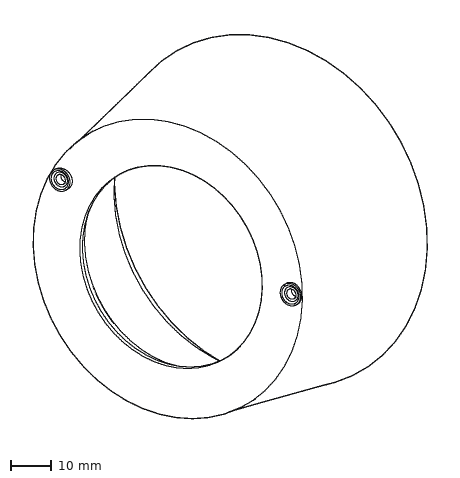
import cadquery as cq
import math


REAR_RADIUS = 46.2
RIM_RADIUS = 39.2
RIM_LENGTH = 1.6
BODY_LENGTH = 49.2

MOUTH_RADIUS = 26.5
MOUTH_DEPTH = 1.6
LIP_LENGTH = 1.3

THROAT_END_SLOPE = 0.3
CHAMBER_RADIUS = 40.6
CHAMBER_START = 23.6
CHAMBER_LENGTH = 18.3
REAR_WALL = 1.4

SCREW_CIRCLE_RADIUS = 35.9
SCREW_ANGLES = (0, 150)
HEAD_RADIUS = 3.0
HEAD_HEIGHT = 0.5
HEAD_ROOT = 1.85
RECESS_RADIUS = 2.5
RECESS_FLOOR_RADIUS = 1.9
RECESS_DEPTH = 0.5
SOCKET_RADIUS = 1.34
SOCKET_DEPTH = 2.8


def make_body():
    """Revolve the wall section, drawn as (y, radius), around the Y axis."""
    lip_end = MOUTH_DEPTH + LIP_LENGTH
    chamber_end = CHAMBER_START + CHAMBER_LENGTH
    throat_direction = (-1, -THROAT_END_SLOPE)
    section = (
        cq.Workplane("YZ")
        .moveTo(MOUTH_DEPTH, MOUTH_RADIUS)
        .lineTo(0, RIM_RADIUS)
        .lineTo(RIM_LENGTH, RIM_RADIUS)
        .lineTo(BODY_LENGTH, REAR_RADIUS)
        .lineTo(BODY_LENGTH, REAR_RADIUS - REAR_WALL)
        .lineTo(chamber_end, CHAMBER_RADIUS)
        .lineTo(CHAMBER_START, CHAMBER_RADIUS)
        .spline(
            [(lip_end, MOUTH_RADIUS)],
            tangents=[throat_direction, throat_direction],
            includeCurrent=True,
        )
        .close()
    )
    return section.revolve(360, (0, 0, 0), (1, 0, 0))


def add_screw(body, angle):
    """Add one round screw head with a conical recess and a blind round socket."""
    x = SCREW_CIRCLE_RADIUS * math.cos(math.radians(angle))
    z = SCREW_CIRCLE_RADIUS * math.sin(math.radians(angle))
    head_plane = cq.Workplane("XZ", origin=(x, -HEAD_HEIGHT, z))

    head = head_plane.circle(HEAD_RADIUS).extrude(-(HEAD_HEIGHT + HEAD_ROOT))
    recess = (
        head_plane.circle(RECESS_RADIUS)
        .workplane(offset=-RECESS_DEPTH)
        .circle(RECESS_FLOOR_RADIUS)
        .loft()
    )
    socket = head_plane.circle(SOCKET_RADIUS).extrude(-SOCKET_DEPTH)
    return body.union(head).cut(recess).cut(socket)


result = make_body()
for screw_angle in SCREW_ANGLES:
    result = add_screw(result, screw_angle)